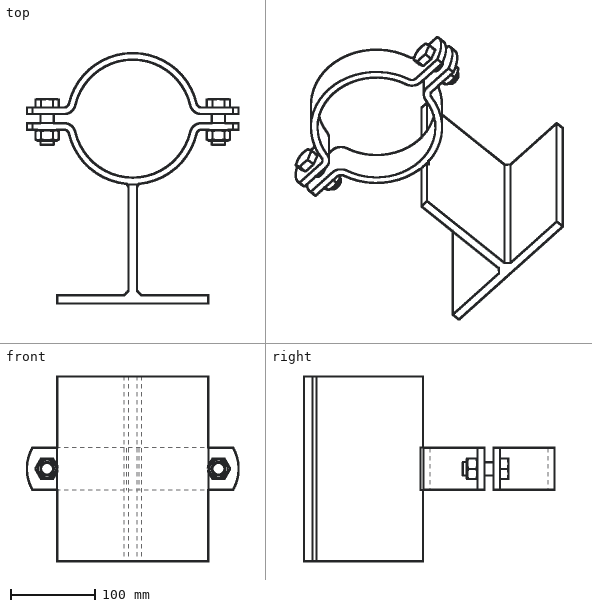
import cadquery as cq
import math

plate_width = 180.0
bracket_height = 220.0
plate_thickness = 10.0
web_thickness = plate_thickness
plate_weld_leg = 5.0

ring_radius = 78.0
strap_thickness = 8.0
strap_height = 50.0
lug_gap = 10.5
lug_bend_radius = 6.0
lug_reach = 126.0
lug_end_radius = strap_height
strap_weld_width = 2.0
strap_weld_length = 3.0

bolt_offset = 102.0
bolt_diameter = 16.0
bolt_tip_diameter = 14.3
bolt_tip_length = 5.0
bolt_tip_chamfer_length = 1.0
hex_flats = 24.0
hex_face_diameter = 22.0
head_chamfer_angle = 15
nut_chamfer_angle = 30
head_height = 10.0
nut_height = 13.0

overall_depth = 298.0
plate_back_y = ring_radius - overall_depth
plate_front_y = plate_back_y + plate_thickness
lug_inner_y = lug_gap / 2
lug_outer_y = lug_inner_y + strap_thickness


def along_z(outline, height):
    """Extrude a closed XY outline equally above and below the Z = 0 plane."""
    return outline.extrude(height / 2, both=True)


def mirrored_bead(corners, height):
    """Weld bead drawn on the +X side of the web and mirrored to the -X side."""
    bead = along_z(cq.Workplane("XY").polyline(corners).close(), height)
    return bead.union(bead.mirror("YZ"))


def make_bracket():
    """Back plate and web; the web ends where it touches the ring."""
    plate = cq.Workplane("XY").box(plate_width, plate_thickness, bracket_height)
    plate = plate.translate((0, plate_back_y + plate_thickness / 2, 0))
    web_top_y = -ring_radius
    web = cq.Workplane("XY").box(web_thickness, web_top_y - plate_front_y, bracket_height)
    web = web.translate((0, (web_top_y + plate_front_y) / 2, 0))
    return plate.union(web)


def make_half_clamp():
    """Half ring on the +Y side, bent outwards into a lug at each end."""
    inner_radius = ring_radius - strap_thickness
    outer_bend_radius = lug_bend_radius + strap_thickness
    bend_y = lug_outer_y + lug_bend_radius
    bend_distance = ring_radius + lug_bend_radius
    tangent_angle = math.asin(bend_y / bend_distance)
    bend_x = bend_distance * math.cos(tangent_angle)
    mid_angle = (tangent_angle + math.pi / 2) / 2

    def on_ring(radius):
        return radius * math.cos(tangent_angle), radius * math.sin(tangent_angle)

    def mid_bend(radius):
        return bend_x - radius * math.cos(mid_angle), bend_y - radius * math.sin(mid_angle)

    def left(point):
        return -point[0], point[1]

    outline = (
        cq.Workplane("XY")
        .moveTo(lug_reach, lug_outer_y)
        .lineTo(bend_x, lug_outer_y)
        .threePointArc(mid_bend(lug_bend_radius), on_ring(ring_radius))
        .threePointArc((0, ring_radius), left(on_ring(ring_radius)))
        .threePointArc(left(mid_bend(lug_bend_radius)), (-bend_x, lug_outer_y))
        .lineTo(-lug_reach, lug_outer_y)
        .lineTo(-lug_reach, lug_inner_y)
        .lineTo(-bend_x, lug_inner_y)
        .threePointArc(left(mid_bend(outer_bend_radius)), left(on_ring(inner_radius)))
        .threePointArc((0, inner_radius), on_ring(inner_radius))
        .threePointArc(mid_bend(outer_bend_radius), (bend_x, lug_inner_y))
        .lineTo(lug_reach, lug_inner_y)
        .close()
    )
    return along_z(outline, strap_height).intersect(make_lug_end_envelope())


def make_lug_end_envelope():
    """Strap front shape with an arc across each lug end."""
    half_height = strap_height / 2
    corner_x = lug_reach - lug_end_radius + math.sqrt(lug_end_radius**2 - half_height**2)
    return (
        cq.Workplane("XZ")
        .moveTo(-corner_x, -half_height)
        .lineTo(corner_x, -half_height)
        .threePointArc((lug_reach, 0), (corner_x, half_height))
        .lineTo(-corner_x, half_height)
        .threePointArc((-lug_reach, 0), (-corner_x, -half_height))
        .close()
        .extrude(ring_radius, both=True)
    )


def make_hex(height, chamfer_angle, chamfer_both_ends):
    """Hexagon standing on Z = 0 with its corners cut by a cone."""
    corner_radius = hex_flats / math.sqrt(3)
    face_radius = hex_face_diameter / 2
    drop = (corner_radius - face_radius) * math.tan(math.radians(chamfer_angle))
    base = [(face_radius, 0), (corner_radius, drop)] if chamfer_both_ends else [(corner_radius, 0)]
    profile = [(0, 0), *base, (corner_radius, height - drop), (face_radius, height), (0, height)]
    turned = cq.Workplane("XZ").polyline(profile).close().revolve(360, (0, 0), (0, 1))
    return cq.Workplane("XY").polygon(6, 2 * corner_radius).extrude(height).intersect(turned)


def make_bolt():
    """Bolt and nut on the Y axis, head on the +Y lug and nut on the -Y lug."""
    head = make_hex(head_height, head_chamfer_angle, chamfer_both_ends=False)
    head = head.rotate((0, 0, 0), (1, 0, 0), -90).translate((0, lug_outer_y, 0))
    nut = make_hex(nut_height, nut_chamfer_angle, chamfer_both_ends=True)
    nut = nut.rotate((0, 0, 0), (1, 0, 0), 90).translate((0, -lug_outer_y, 0))
    tip_y = -lug_outer_y - nut_height - bolt_tip_length
    shank_profile = [
        (0, lug_outer_y),
        (bolt_diameter / 2, lug_outer_y),
        (bolt_diameter / 2, tip_y + bolt_tip_chamfer_length),
        (bolt_tip_diameter / 2, tip_y),
        (0, tip_y),
    ]
    shank = cq.Workplane("XY").polyline(shank_profile).close().revolve(360, (0, 0), (0, 1))
    return head.union(shank).union(nut)


def make_plate_welds():
    """Full-height beads where the web meets the plate."""
    side = web_thickness / 2
    corners = [
        (0, plate_front_y),
        (side + plate_weld_leg, plate_front_y),
        (side, plate_front_y + plate_weld_leg),
        (0, plate_front_y + plate_weld_leg),
    ]
    return mirrored_bead(corners, bracket_height)


def make_strap_welds():
    """Strap-height beads where the web meets the ring."""
    side = web_thickness / 2
    toe_x = side + strap_weld_width
    toe_y = -math.sqrt(ring_radius**2 - toe_x**2)
    root_y = -ring_radius + strap_thickness / 2
    end_y = -ring_radius - strap_weld_length
    corners = [(0, root_y), (toe_x, toe_y), (side, end_y), (0, end_y)]
    return mirrored_bead(corners, strap_height)


half_clamp = make_half_clamp()
result = make_bracket().union(half_clamp).union(half_clamp.mirror("XZ"))
result = result.union(make_plate_welds()).union(make_strap_welds())
for side in (-1, 1):
    result = result.union(make_bolt().translate((side * bolt_offset, 0, 0)))